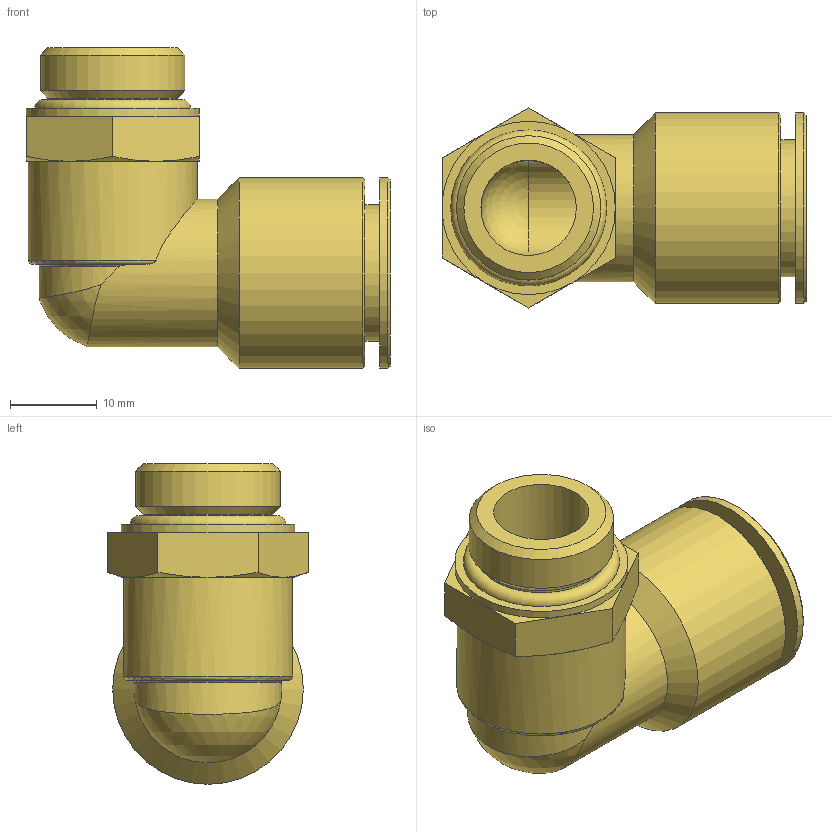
import math

import cadquery as cq

tube_dia = 17.0
bore_dia = 11.0

corner_ball_shift = 0.385

top_z = 26.0
thread_dia = 16.66
neck_dia = 14.95
thread_tip_dia = neck_dia
thread_tip_chamfer = (thread_dia - thread_tip_dia) / 2
thread_bottom_z = 21.1
neck_cone_height = 0.95
flange_dia = 20.0
flange_top_z = 19.0

ring_outer_dia = 18.0
ring_section_dia = 2.0

hex_sides = 6
hex_flats = 20.0
hex_corners = hex_flats / math.cos(math.pi / hex_sides)
hex_top_z = 18.1
hex_bottom_z = 12.9
hex_chamfer_angle = 20.0

socket_dia = 19.5
socket_bottom_z = 1.0
socket_round = 0.5
root_fillet = 0.25

end_x = 32.0
sleeve_dia = 22.0
sleeve_cone_x = 12.1
sleeve_cone_length = (sleeve_dia - tube_dia) / 2
sleeve_end_x = 29.1
collar_neck_dia = 15.8
collar_x = 30.8
edge_chamfer = 0.25


def rod_z(dia, z_low, z_high):
    """Solid cylinder on the Z axis."""
    return cq.Workplane("XY", origin=(0, 0, z_low)).circle(dia / 2).extrude(z_high - z_low)


def rod_x(dia, x_low, x_high):
    """Solid cylinder on the X axis."""
    return cq.Workplane("YZ", origin=(x_low, 0, 0)).circle(dia / 2).extrude(x_high - x_low)


def make_elbow_tube():
    """Two mitred tubes whose outer corner is trimmed to a ball."""
    reach = tube_dia
    room = 3 * tube_dia
    above_mitre = (
        cq.Workplane("XZ")
        .polyline([(-room, -room), (room, room), (-room, room)])
        .close()
        .extrude(room, both=True)
    )
    vertical = rod_z(tube_dia, -reach, hex_bottom_z).intersect(above_mitre)
    horizontal = rod_x(tube_dia, -reach, sleeve_cone_x).cut(above_mitre)

    ball_centre = (-corner_ball_shift, 0, -corner_ball_shift)
    ball = cq.Workplane("XY").sphere(tube_dia / 2).translate(ball_centre)
    outer_corner = (
        cq.Workplane("XY")
        .box(room, room, room)
        .translate((-room / 2, 0, -room / 2))
        .translate(ball_centre)
    )
    return vertical.union(horizontal).cut(outer_corner.cut(ball))


def make_socket():
    """Round body with a rounded lower edge and a fillet where the tube leaves it."""
    socket_r = socket_dia / 2
    tube_r = tube_dia / 2
    arc_share = 1 - math.sqrt(0.5)
    return (
        cq.Workplane("XZ")
        .moveTo(0, hex_bottom_z)
        .lineTo(socket_r, hex_bottom_z)
        .lineTo(socket_r, socket_bottom_z + socket_round)
        .threePointArc(
            (socket_r - socket_round * arc_share, socket_bottom_z + socket_round * arc_share),
            (socket_r - socket_round, socket_bottom_z),
        )
        .lineTo(tube_r + root_fillet, socket_bottom_z)
        .threePointArc(
            (tube_r + root_fillet * arc_share, socket_bottom_z - root_fillet * arc_share),
            (tube_r, socket_bottom_z - root_fillet),
        )
        .lineTo(0, socket_bottom_z - root_fillet)
        .close()
        .revolve(360, (0, 0, 0), (0, 1, 0))
    )


def make_hexagon():
    """Hexagon whose lower corners are cut by a cone touching the flats."""
    hexagon = (
        cq.Workplane("XY", origin=(0, 0, hex_bottom_z))
        .transformed(rotate=(0, 0, 180 / hex_sides))
        .polygon(hex_sides, hex_corners)
        .extrude(hex_top_z - hex_bottom_z)
    )
    cone_base_r = hex_flats / 2
    cone_height = hex_top_z - hex_bottom_z
    cone_top_r = cone_base_r + cone_height / math.tan(math.radians(hex_chamfer_angle))
    cone = cq.Workplane("XY").add(
        cq.Solid.makeCone(cone_base_r, cone_top_r, cone_height, cq.Vector(0, 0, hex_bottom_z))
    )
    return hexagon.intersect(cone)


def make_thread_end():
    """Flange, neck and threaded plug with chamfered ends."""
    plug = (
        cq.Workplane("XZ")
        .moveTo(0, hex_top_z)
        .lineTo(neck_dia / 2, hex_top_z)
        .lineTo(neck_dia / 2, thread_bottom_z - neck_cone_height)
        .lineTo(thread_dia / 2, thread_bottom_z)
        .lineTo(thread_dia / 2, top_z - thread_tip_chamfer)
        .lineTo(thread_tip_dia / 2, top_z)
        .lineTo(0, top_z)
        .close()
        .revolve(360, (0, 0, 0), (0, 1, 0))
    )
    return plug.union(rod_z(flange_dia, hex_top_z, flange_top_z))


def make_o_ring():
    """Round-section seal around the neck."""
    ring_r = (ring_outer_dia - ring_section_dia) / 2
    return (
        cq.Workplane("XZ")
        .center(ring_r, flange_top_z)
        .circle(ring_section_dia / 2)
        .revolve(360, (-ring_r, 0, 0), (-ring_r, 1, 0))
    )


def make_push_in_end():
    """Sleeve with a conical shoulder, then the release collar on its neck."""
    sleeve_start_x = sleeve_cone_x + sleeve_cone_length
    shoulder = (
        cq.Workplane("XZ")
        .moveTo(sleeve_cone_x, 0)
        .lineTo(sleeve_cone_x, tube_dia / 2)
        .lineTo(sleeve_start_x, sleeve_dia / 2)
        .lineTo(sleeve_start_x, 0)
        .close()
        .revolve(360, (0, 0, 0), (1, 0, 0))
    )
    sleeve = rod_x(sleeve_dia, sleeve_start_x, sleeve_end_x).faces(">X").chamfer(edge_chamfer)
    collar_neck = rod_x(collar_neck_dia, sleeve_end_x, collar_x)
    collar = rod_x(sleeve_dia, collar_x, end_x).faces(">X").chamfer(edge_chamfer)
    return shoulder.union(sleeve).union(collar_neck).union(collar)


def make_bore():
    """Passage through both branches with a ball-shaped turn."""
    turn = cq.Workplane("XY").sphere(bore_dia / 2)
    return turn.union(rod_z(bore_dia, 0, top_z)).union(rod_x(bore_dia, 0, end_x))


body = make_elbow_tube()
for part in (make_socket(), make_hexagon(), make_thread_end(), make_o_ring(), make_push_in_end()):
    body = body.union(part)

result = body.cut(make_bore())